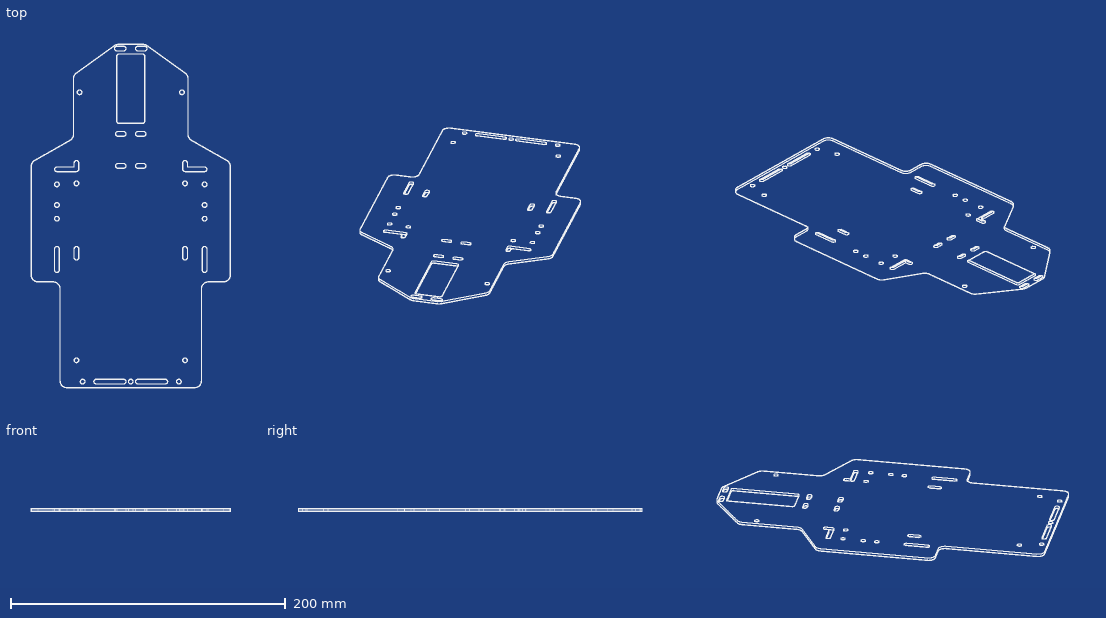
import cadquery as cq

length = 250.0
width = 145.0
thickness = 2.0
front_y = length / 2
rear_y = -length / 2

nose_half_width = 10.5
neck_half_width = 41.8
body_half_width = width / 2
tail_half_width = 51.5
neck_front_y = 102.5
neck_rear_y = 56.5
body_front_y = 39.0
body_rear_y = -48.0
corner_radius = 5.0

window_width = 20.2
window_front_y = 117.8
window_rear_y = 67.5
window_radius = 1.5

hole_diameter = 3.2
inner_column_x = 39.5
outer_column_x = 53.8
neck_hole = (37.2, 90.0)
inner_hole_ys = (23.8, -105.0)
outer_hole_ys = (23.0, 8.0, -2.0)
rear_row_y = -120.5
rear_hole_x = 35.0

slot_inner_x = 3.5
nose_slot_outer_x = 11.8
nose_slot_y = 121.8
center_slot_outer_x = 11.0
center_slot_ys = (59.8, 36.5)
rear_slot_outer_x = 26.8

side_slot_front_y = -22.2
inner_slot_rear_y = -32.0
outer_slot_rear_y = -41.0

l_slot_y = 34.0
l_slot_front_y = 40.2


def plate_blank():
    """Symmetric outline, extruded upward, with rounded vertical edges."""
    right_side = [
        (nose_half_width, front_y),
        (neck_half_width, neck_front_y),
        (neck_half_width, neck_rear_y),
        (body_half_width, body_front_y),
        (body_half_width, body_rear_y),
        (tail_half_width, body_rear_y),
        (tail_half_width, rear_y),
    ]
    left_side = [(-x, y) for x, y in reversed(right_side)]
    blank = cq.Workplane("XY").polyline(right_side + left_side).close().extrude(thickness)
    return blank.edges("|Z").fillet(corner_radius)


def window():
    center_y = (window_front_y + window_rear_y) / 2
    return (
        cq.Workplane("XY")
        .center(0, center_y)
        .rect(window_width, window_front_y - window_rear_y)
        .extrude(thickness)
        .edges("|Z")
        .fillet(window_radius)
    )


def holes(points):
    return cq.Workplane("XY").pushPoints(points).circle(hole_diameter / 2).extrude(thickness)


def slot_across(x_start, x_end, y):
    """Round-ended slot along X."""
    return (
        cq.Workplane("XY")
        .center((x_start + x_end) / 2, y)
        .slot2D(x_end - x_start, hole_diameter)
        .extrude(thickness)
    )


def slot_along(x, y_start, y_end):
    """Round-ended slot along Y."""
    return (
        cq.Workplane("XY")
        .center(x, (y_start + y_end) / 2)
        .slot2D(y_end - y_start, hole_diameter, 90)
        .extrude(thickness)
    )


def right_side_cutouts():
    """Every opening that has a mirrored twin on the left side."""
    radius = hole_diameter / 2
    points = [neck_hole, (rear_hole_x, rear_row_y)]
    points += [(inner_column_x, y) for y in inner_hole_ys]
    points += [(outer_column_x, y) for y in outer_hole_ys]

    cutouts = holes(points)
    cutouts = cutouts.add(slot_across(slot_inner_x, nose_slot_outer_x, nose_slot_y))
    for y in center_slot_ys:
        cutouts = cutouts.add(slot_across(slot_inner_x, center_slot_outer_x, y))
    cutouts = cutouts.add(slot_across(slot_inner_x, rear_slot_outer_x, rear_row_y))
    cutouts = cutouts.add(slot_along(inner_column_x, inner_slot_rear_y, side_slot_front_y))
    cutouts = cutouts.add(slot_along(outer_column_x, outer_slot_rear_y, side_slot_front_y))

    cutouts = cutouts.add(slot_across(inner_column_x - radius, outer_column_x + radius, l_slot_y))
    cutouts = cutouts.add(slot_along(inner_column_x, l_slot_y - radius, l_slot_front_y))
    return cutouts.combine()


right_cutouts = right_side_cutouts()
left_cutouts = right_cutouts.mirror("YZ")
result = (
    plate_blank()
    .cut(window())
    .cut(holes([(0, rear_row_y)]))
    .cut(right_cutouts)
    .cut(left_cutouts)
)